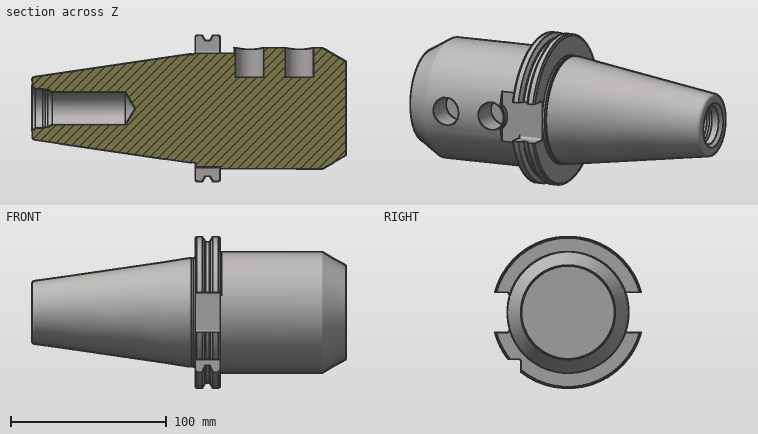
import cadquery as cq
import math


TAPER_RATIO = 7 / 24
GAUGE_RADIUS = 69.85 / 2
TAPER_LENGTH = 101.6
TAIL_ROUNDING = 2.25
TAIL_RADIUS = GAUGE_RADIUS - TAPER_LENGTH * TAPER_RATIO / 2

TAPER_END = -0.7
RELIEF_START = 0.5
RELIEF_END = 1.8
RELIEF_RADIUS = GAUGE_RADIUS - 0.2
ROOT_RADIUS = GAUGE_RADIUS + 0.4

FLANGE_START = 3.2
FLANGE_END = 19.1
FLANGE_RADIUS = 97.5 / 2
FLANGE_CHAMFER = 1.0
V_CENTRE = 11.1
V_FLOOR_WIDTH = 3.0
V_DEPTH = 3.3
V_HALF_ANGLE = math.radians(30)
V_ROUNDING = 0.5

SLOT_WIDTH = 25.7
SLOT_FLOOR_MINUS_Y = 37.7
SLOT_FLOOR_PLUS_Y = 35.4
SLOT_ROUNDING = 1.5
NOTCH_OFFSET = 30.2
NOTCH_ROUNDING = 1.0

BODY_RADIUS = 39.0
NOSE_END = 100.0
NOSE_CONE_START = 84.7
NOSE_CONE_ANGLE = math.radians(30)
NOSE_RADIUS = BODY_RADIUS - (NOSE_END - NOSE_CONE_START) * math.tan(NOSE_CONE_ANGLE)
NOSE_END_CHAMFER = 0.4
NOSE_ROUNDING = 1.0

NECK_END = 20.1
NECK_RADIUS = BODY_RADIUS - 0.25
NECK_LEVEL = 10.9

SCREW_POSITIONS = (38.0, 70.0)
SCREW_HOLE_RADIUS = 9.0
SCREW_HOLE_FLOOR = 20.0
SCREW_BOSS_RADIUS = 10.0
SLOT_RUNOUT_END = 31.7

LEAD_RADIUS = 14.5
LEAD_DEPTH = 2.3
PILOT_RADIUS = 12.5
PILOT_DEPTH = 7.0
ENTRY_RADIUS = 12.0
ENTRY_START = 8.5
ENTRY_END = 10.3
CORE_RADIUS = 10.4
CORE_START = 13.0
CORE_END = 60.0
DRILL_TIP_ANGLE = math.radians(59)

CUT_MARGIN = 10.0


def revolve_about_x(points):
    return cq.Workplane("XY").polyline(points).close().revolve(360, (0, 0, 0), (1, 0, 0))


def box_between(x_range, y_range, z_range):
    (x0, x1), (y0, y1), (z0, z1) = x_range, y_range, z_range
    return cq.Workplane("XY").box(x1 - x0, y1 - y0, z1 - z0, centered=False).translate((x0, y0, z0))


def make_shank():
    shank = revolve_about_x([
        (-TAPER_LENGTH, 0),
        (-TAPER_LENGTH, TAIL_RADIUS),
        (TAPER_END, GAUGE_RADIUS),
        (RELIEF_START, GAUGE_RADIUS),
        (RELIEF_START, RELIEF_RADIUS),
        (RELIEF_END, RELIEF_RADIUS),
        (RELIEF_END, GAUGE_RADIUS),
        (FLANGE_START, ROOT_RADIUS),
        (FLANGE_START, 0),
    ])
    return shank.faces("<X").edges().fillet(TAIL_ROUNDING)


def make_flange():
    floor_radius = FLANGE_RADIUS - V_DEPTH
    floor_half = V_FLOOR_WIDTH / 2
    mouth_half = floor_half + V_DEPTH * math.tan(V_HALF_ANGLE)
    rim_radius = FLANGE_RADIUS - FLANGE_CHAMFER
    flange = revolve_about_x([
        (FLANGE_START, 0),
        (FLANGE_START, rim_radius),
        (FLANGE_START + FLANGE_CHAMFER, FLANGE_RADIUS),
        (V_CENTRE - mouth_half, FLANGE_RADIUS),
        (V_CENTRE - floor_half, floor_radius),
        (V_CENTRE + floor_half, floor_radius),
        (V_CENTRE + mouth_half, FLANGE_RADIUS),
        (FLANGE_END - FLANGE_CHAMFER, FLANGE_RADIUS),
        (FLANGE_END, rim_radius),
        (FLANGE_END, 0),
    ])
    v_floor_edges = cq.selectors.RadiusNthSelector(0)
    flange = flange.faces("%CYLINDER").edges(v_floor_edges).fillet(V_ROUNDING)
    notch_outer = FLANGE_RADIUS + CUT_MARGIN
    notch = box_between(
        (FLANGE_START, FLANGE_END), (-notch_outer, -NOTCH_OFFSET), (-notch_outer, -NOTCH_OFFSET)
    )
    notch = notch.edges("|X and >Y and >Z").fillet(NOTCH_ROUNDING)
    return flange.cut(notch)


def make_slot(floor_offset):
    """Drive slot through the +Y side of the flange, with its floor at the given Y."""
    slot = box_between(
        (FLANGE_START, FLANGE_END),
        (floor_offset, FLANGE_RADIUS + CUT_MARGIN),
        (-SLOT_WIDTH / 2, SLOT_WIDTH / 2),
    )
    return slot.edges("|X and <Y").fillet(SLOT_ROUNDING)


def make_body():
    body = revolve_about_x([
        (FLANGE_START, 0),
        (FLANGE_START, BODY_RADIUS),
        (NOSE_CONE_START, BODY_RADIUS),
        (NOSE_END, NOSE_RADIUS),
        (NOSE_END, 0),
    ])
    body = body.faces("%CYLINDER").edges(">X").fillet(NOSE_ROUNDING)
    return body.faces(">X").edges().chamfer(NOSE_END_CHAMFER)


def make_neck_relief():
    reach = BODY_RADIUS + CUT_MARGIN
    ring = (
        cq.Workplane("YZ", origin=(FLANGE_END, 0, 0))
        .circle(reach)
        .circle(NECK_RADIUS)
        .extrude(NECK_END - FLANGE_END)
    )
    upper_part = box_between((FLANGE_END, NECK_END), (-reach, reach), (NECK_LEVEL, reach))
    return ring.intersect(upper_part)


def screw_cylinder(x, radius, floor):
    """Cylinder along Y at x, from the given Y floor to outside the +Y side of the body."""
    top = BODY_RADIUS + CUT_MARGIN
    return (
        cq.Workplane("XZ", origin=(x, top, 0))
        .circle(radius)
        .extrude(top - floor)
    )


def make_slot_runout():
    """Flat on the body behind the +Y slot, stopping around the first screw boss."""
    flat = box_between(
        (FLANGE_END, SLOT_RUNOUT_END),
        (SLOT_FLOOR_PLUS_Y, BODY_RADIUS + CUT_MARGIN),
        (-BODY_RADIUS, BODY_RADIUS),
    )
    return flat.cut(screw_cylinder(SCREW_POSITIONS[0], SCREW_BOSS_RADIUS, SLOT_FLOOR_PLUS_Y))


def make_pull_stud_bore():
    tip_length = CORE_RADIUS / math.tan(DRILL_TIP_ANGLE)
    bore = revolve_about_x([
        (0, 0),
        (0, LEAD_RADIUS),
        (LEAD_DEPTH, PILOT_RADIUS),
        (PILOT_DEPTH, PILOT_RADIUS),
        (ENTRY_START, ENTRY_RADIUS),
        (ENTRY_END, ENTRY_RADIUS),
        (CORE_START, CORE_RADIUS),
        (CORE_END, CORE_RADIUS),
        (CORE_END + tip_length, 0),
    ])
    return bore.translate((-TAPER_LENGTH, 0, 0))


body = make_body().cut(make_slot_runout()).cut(make_neck_relief())
result = body.union(make_flange()).union(make_shank())
result = result.cut(make_slot(SLOT_FLOOR_PLUS_Y))
result = result.cut(make_slot(SLOT_FLOOR_MINUS_Y).mirror("XZ"))
for screw_x in SCREW_POSITIONS:
    result = result.cut(screw_cylinder(screw_x, SCREW_HOLE_RADIUS, SCREW_HOLE_FLOOR))
result = result.cut(make_pull_stud_bore())